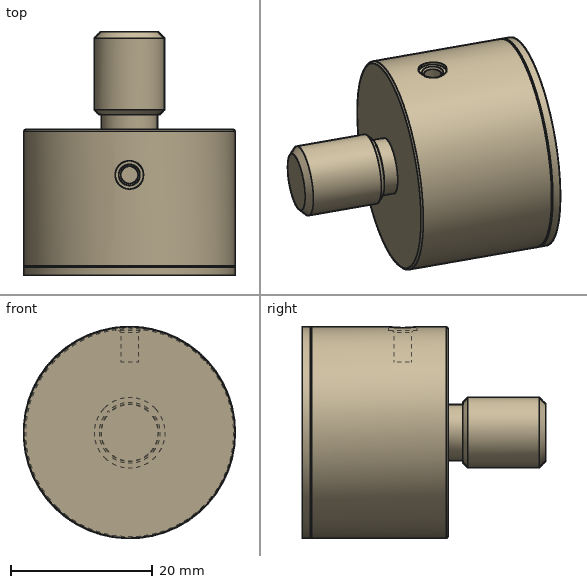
import cadquery as cq

total_length = 34.5
body_diameter = 30.0
body_length = 20.7
body_chamfer = 0.28

disc_thickness = 1.15
groove_width = 0.2
groove_depth = 0.1

stud_diameter = 10.0
neck_diameter = 8.0
neck_length = 2.07
tip_chamfer = 0.93
neck_side_chamfer = 0.7

hole_y = 14.2
hole_diameter = 2.45
hole_depth = 5.0
counterbore_diameter = 4.0
counterbore_depth = 0.52
countersink_diameter = 3.0

body_radius = body_diameter / 2


def y_cylinder(diameter, start, end):
    """Solid cylinder on the Y axis between two Y positions."""
    base = cq.Workplane("XZ", origin=(0, start, 0))
    return base.circle(diameter / 2).extrude(start - end)


def make_body():
    body = y_cylinder(body_diameter, 0, body_length)
    body = body.faces(">Y").chamfer(body_chamfer)
    groove_middle = disc_thickness + groove_width / 2
    groove_profile = [
        (body_radius, disc_thickness),
        (body_radius, disc_thickness + groove_width),
        (body_radius - groove_depth, groove_middle),
    ]
    groove = cq.Workplane("XY").polyline(groove_profile).close().revolve(360, (0, 0, 0), (0, 1, 0))
    return body.cut(groove)


def make_stud():
    shank_start = body_length + neck_length
    neck = y_cylinder(neck_diameter, body_length / 2, shank_start)
    shank = y_cylinder(stud_diameter, shank_start, total_length)
    shank = shank.faces(">Y").chamfer(tip_chamfer)
    shank = shank.faces("<Y").chamfer(neck_side_chamfer)
    return neck.union(shank)


def make_radial_hole():
    """Cutter for the blind hole: counterbore, 45-degree countersink and bore."""
    bore_radius = hole_diameter / 2
    sink_radius = countersink_diameter / 2
    counterbore_radius = counterbore_diameter / 2
    floor_z = body_radius - counterbore_depth
    sink_bottom_z = floor_z - (sink_radius - bore_radius)
    bottom_z = body_radius - hole_depth
    profile = [
        (0, bottom_z),
        (bore_radius, bottom_z),
        (bore_radius, sink_bottom_z),
        (sink_radius, floor_z),
        (counterbore_radius, floor_z),
        (counterbore_radius, body_radius),
        (0, body_radius),
    ]
    section = cq.Workplane("XZ", origin=(0, hole_y, 0)).polyline(profile).close()
    return section.revolve(360, (0, 0, 0), (0, 1, 0))


result = make_body().union(make_stud()).cut(make_radial_hole())